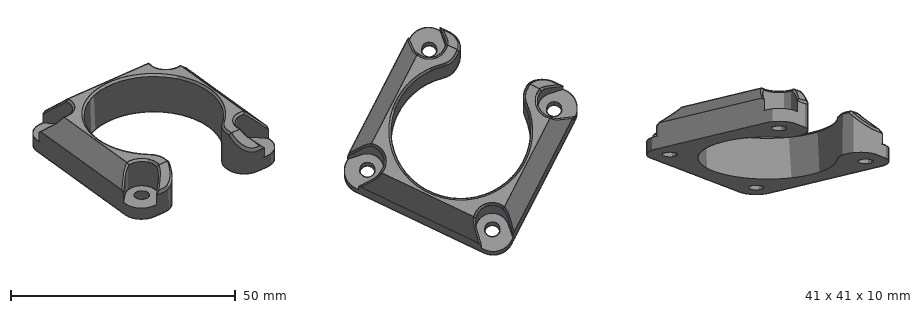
import cadquery as cq
import math

side = 41.0
height = 10.0
corner_radius = 4.6
bevel = 4.0

bore_radius = 15.5
mouth_width = 17.0

hole_diameter = 3.4
hole_pitch = 31.0
pad_height = 3.0
pocket_radius = 3.7

rim_chamfer = 0.5

bevel_start_height = height - bevel
half_side = side / 2
hole_offset = hole_pitch / 2
corner_hole_distance = hole_offset * math.sqrt(2)
corner_angles = (45, 135, 225, 315)


def make_body():
    """Square block with bevelled upper edges and a bore that opens through the +X side."""
    block = cq.Workplane("XY").box(side, side, height, centered=(True, True, False))
    block = block.faces(">Z").edges().chamfer(bevel)
    bore = cq.Workplane("XY").circle(bore_radius).extrude(height)
    mouth = cq.Workplane("XY").box(side, mouth_width, height, centered=(False, True, False))
    return block.cut(bore).cut(mouth)


def round_arm_tips(body):
    """Round the upright edges of the mouth: where it meets the bore and at the +X side."""
    mouth_zone = cq.selectors.BoxSelector((0, -mouth_width, 0), (side, mouth_width, height))
    return body.edges("|Z").edges(mouth_zone).fillet(corner_radius)


def make_pocket():
    """Round-nosed screw pocket that stays open in the +X direction."""
    floor = cq.Workplane("XY").workplane(offset=pad_height)
    nose = floor.circle(pocket_radius).extrude(height)
    channel = floor.box(side, 2 * pocket_radius, height, centered=(False, True, False))
    return nose.union(channel)


def cut_screw_corners(body):
    """Cut a pocket and a through hole at each corner, opening outward along the diagonal."""
    hole = cq.Workplane("XY").circle(hole_diameter / 2).extrude(height)
    cutter = make_pocket().union(hole).translate((corner_hole_distance, 0, 0))
    for angle in corner_angles:
        body = body.cut(cutter.rotate((0, 0, 0), (0, 0, 1), angle))
    return body


def round_pads(body):
    """Round the outer corner of each pad left under the pockets."""
    pad_zone = cq.selectors.BoxSelector((-side, -side, 0), (side, side, pad_height))
    outer_edges = body.edges("|Z").edges(pad_zone)
    return outer_edges.edges("(>X or <X) and (>Y or <Y)").fillet(corner_radius)


def chamfer_pocket_rims(body):
    """Chamfer the curved and diagonal upper edges of the four screw pockets."""
    curved_or_diagonal = body.edges("not (|X or |Y or |Z)")
    inner = hole_offset - corner_radius
    rims = []
    for x_sign in (-1, 1):
        for y_sign in (-1, 1):
            corner_zone = cq.selectors.BoxSelector(
                (x_sign * inner, y_sign * inner, bevel_start_height),
                (x_sign * half_side, y_sign * half_side, height + rim_chamfer),
            )
            rims += curved_or_diagonal.edges(corner_zone).vals()
    return body.newObject(rims).chamfer(rim_chamfer)


def chamfer_mouth_rim(body):
    """Chamfer the top rim of the bore and mouth, then the bevel edges of the arm tips.

    Each chamfer runs on along the edges tangent to the selected ones.
    """
    bore_rim_zone = cq.selectors.BoxSelector(
        (-bore_radius, -mouth_width / 2, height - rim_chamfer / 2),
        (0, mouth_width / 2, height + rim_chamfer),
    )
    body = body.edges("%CIRCLE").edges(bore_rim_zone).chamfer(rim_chamfer)
    return body.faces(">X").edges("|Y").edges(">Z").chamfer(rim_chamfer)


result = make_body()
result = round_arm_tips(result)
result = cut_screw_corners(result)
result = round_pads(result)
result = chamfer_pocket_rims(result)
result = chamfer_mouth_rim(result)